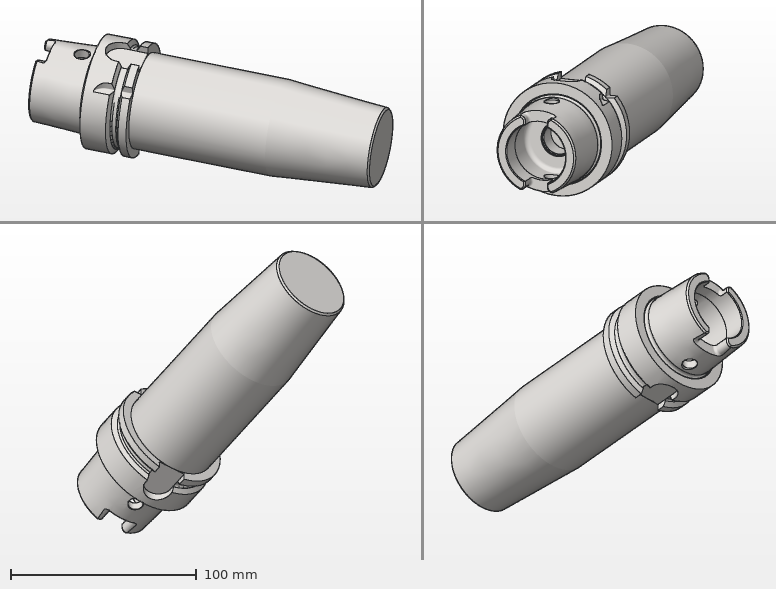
import cadquery as cq
import math


shank_length = 32.0
taper_ratio = 0.05
shank_root_radius = 24.3
shank_end_chamfer = 0.9

neck_length = 2.4
neck_ramp_length = 1.2
neck_depth = 0.35
neck_fillet_radius = 1.0
face_recess_depth = 0.3
face_recess_radius = 25.4

flange_radius = 31.5
flange_width = 26.0
groove_start = 14.4
groove_end = 21.5
groove_flank_bottom_radius = 28.7
groove_bottom_radius = 27.7
groove_flank_angle = 30.0
groove_corner_radius = 0.9

total_length = 192.0
body_radius = 26.5
nose_cone_length = 57.0
nose_radius = 22.0
nose_chamfer = 1.0

mouth_radius = 17.0
mouth_chamfer = 0.5
mouth_depth = 12.6
cavity_radius = 18.5
cavity_depth = 32.0
cavity_floor_fillet = 2.7
coolant_hole_radius = 8.5
coolant_hole_depth = 12.0
coolant_hole_chamfer = 0.5
coolant_counterbore_radius = 9.5
coolant_counterbore_depth = 1.0

keyway_width = 12.54
keyway_shelf_height = 20.7
keyway_edge_radius = 3.0
keyway_floor_fillet = 1.4
keyway_end_chamfer = 0.8
upper_keyway_depth = 5.8
lower_keyway_depth = 9.9

cross_hole_x = -8.8
cross_hole_radius = 4.0
cross_hole_chamfer = 0.5

slot_width = 16.0
slot_start = 4.9
slot_floor_height = body_radius
notch_start = 4.2
notch_wall_offset = 20.0
notch_floor_height = 20.0
notch_floor_fillet = 0.5

shank_end = -shank_length
nose_end = total_length - shank_length
beyond = 10.0


def shank_radius(x):
    return shank_root_radius + taper_ratio * x


def revolve_about_x(profile):
    """Turn an (x, radius) outline about the X axis, with the seam on the -Y side."""
    return profile.close().revolve(360, (0, 0, 0), (1, 0, 0)).rotate((0, 0, 0), (1, 0, 0), 180)


def turned_over(shape):
    return shape.rotate((0, 0, 0), (1, 0, 0), 180)


def turned_body():
    neck_radius = shank_radius(-neck_length) - neck_depth
    flank = (flange_radius - groove_flank_bottom_radius) * math.tan(math.radians(groove_flank_angle))
    corner = groove_corner_radius
    return revolve_about_x(
        cq.Workplane("XY")
        .moveTo(shank_end, 0)
        .lineTo(shank_end, shank_radius(shank_end) - shank_end_chamfer)
        .lineTo(shank_end + shank_end_chamfer, shank_radius(shank_end + shank_end_chamfer))
        .lineTo(-neck_length, shank_radius(-neck_length))
        .lineTo(neck_ramp_length - neck_length, neck_radius)
        .lineTo(face_recess_depth - neck_fillet_radius, neck_radius)
        .radiusArc((face_recess_depth, neck_radius + neck_fillet_radius), -neck_fillet_radius)
        .lineTo(0, face_recess_radius)
        .lineTo(0, flange_radius)
        .lineTo(groove_start, flange_radius)
        .lineTo(groove_start + flank, groove_flank_bottom_radius)
        .lineTo(groove_start + flank, groove_bottom_radius + corner)
        .radiusArc((groove_start + flank + corner, groove_bottom_radius), -corner)
        .lineTo(groove_end - flank - corner, groove_bottom_radius)
        .radiusArc((groove_end - flank, groove_bottom_radius + corner), -corner)
        .lineTo(groove_end - flank, groove_flank_bottom_radius)
        .lineTo(groove_end, flange_radius)
        .lineTo(flange_width, flange_radius)
        .lineTo(flange_width, body_radius)
        .lineTo(nose_end - nose_cone_length, body_radius)
        .lineTo(nose_end - nose_chamfer, nose_radius)
        .lineTo(nose_end, nose_radius - nose_chamfer)
        .lineTo(nose_end, 0)
    )


def cavity():
    shoulder_x = shank_end + mouth_depth
    floor_x = shank_end + cavity_depth
    counterbore_x = floor_x + coolant_counterbore_depth
    hole_mouth_radius = coolant_hole_radius + coolant_hole_chamfer
    fillet_offset = cavity_floor_fillet * math.cos(math.radians(45))
    fillet_center = (floor_x - cavity_floor_fillet, cavity_radius - cavity_floor_fillet)
    return revolve_about_x(
        cq.Workplane("XY")
        .moveTo(shank_end, 0)
        .lineTo(shank_end, mouth_radius + mouth_chamfer)
        .lineTo(shank_end + mouth_chamfer, mouth_radius)
        .lineTo(shoulder_x, mouth_radius)
        .lineTo(shoulder_x, cavity_radius)
        .lineTo(fillet_center[0], cavity_radius)
        .threePointArc(
            (fillet_center[0] + fillet_offset, fillet_center[1] + fillet_offset),
            (floor_x, fillet_center[1]),
        )
        .lineTo(floor_x, coolant_counterbore_radius)
        .lineTo(counterbore_x, coolant_counterbore_radius)
        .lineTo(counterbore_x, hole_mouth_radius)
        .lineTo(counterbore_x + coolant_hole_chamfer, coolant_hole_radius)
        .lineTo(floor_x + coolant_hole_depth, coolant_hole_radius)
        .lineTo(floor_x + coolant_hole_depth, 0)
    )


def keyway_outline(x, margin):
    """Slot that widens through rounded edges into a shelf, grown outwards by the margin."""
    half_width = keyway_width / 2 + margin
    edge_radius = keyway_edge_radius - margin
    shelf_height = keyway_shelf_height - margin
    shelf_start = half_width + edge_radius
    return (
        cq.Workplane("YZ", origin=(x, 0, 0))
        .moveTo(-half_width, 0)
        .lineTo(half_width, 0)
        .lineTo(half_width, shelf_height - edge_radius)
        .radiusArc((shelf_start, shelf_height), edge_radius)
        .lineTo(flange_radius, shelf_height)
        .lineTo(flange_radius, flange_radius)
        .lineTo(-flange_radius, flange_radius)
        .lineTo(-flange_radius, shelf_height)
        .lineTo(-shelf_start, shelf_height)
        .radiusArc((-half_width, shelf_height - edge_radius), edge_radius)
        .close()
    )


def keyway(depth):
    """Keyway on the +Z side, with a rounded floor and a chamfered end."""
    slot = keyway_outline(shank_end, 0).extrude(depth)
    slot = slot.faces(">X").edges().fillet(keyway_floor_fillet)
    wide_end = keyway_outline(shank_end, keyway_end_chamfer).wires().val()
    narrow_end = keyway_outline(shank_end + keyway_end_chamfer, 0).wires().val()
    chamfer = cq.Solid.makeLoft([wide_end, narrow_end], True)
    return slot.union(cq.Workplane(chamfer))


def cross_hole():
    """Hole through both walls along Z, with a countersink on each outer side."""
    plane = cq.Workplane("XY", origin=(cross_hole_x, 0, 0))
    hole = plane.circle(cross_hole_radius).extrude(flange_radius, both=True)
    mouth_height = shank_radius(cross_hole_x)
    countersink = cq.Workplane(
        cq.Solid.makeCone(
            cross_hole_radius,
            cross_hole_radius + 2 * cross_hole_chamfer,
            2 * cross_hole_chamfer,
            cq.Vector(cross_hole_x, 0, mouth_height - cross_hole_chamfer),
        )
    )
    return hole.union(countersink).union(turned_over(countersink))


def flange_slot(start_x, center_y, floor_height):
    """Round-ended slot on the +Z side, open towards the body end of the flange."""
    radius = slot_width / 2
    center_x = start_x + radius
    straight_length = flange_width - center_x
    height = flange_radius + beyond - floor_height
    plane = cq.Workplane("XY", origin=(center_x, center_y, floor_height))
    round_end = plane.circle(radius).extrude(height)
    straight = plane.rect(straight_length, slot_width, centered=(False, True)).extrude(height)
    return round_end.union(straight)


def orientation_notch():
    """Slot beside the +Z, -Y quarter of the flange, with a small fillet round its floor."""
    center_y = -notch_wall_offset - slot_width / 2
    slot = flange_slot(notch_start, center_y, notch_floor_height)
    return slot.faces("<Z").edges("not |Y").fillet(notch_floor_fillet)


flange_slot_cut = flange_slot(slot_start, 0, slot_floor_height)

result = turned_body().cut(cavity())
result = result.cut(keyway(upper_keyway_depth))
result = result.cut(turned_over(keyway(lower_keyway_depth)))
result = result.cut(cross_hole())
result = result.cut(flange_slot_cut).cut(turned_over(flange_slot_cut))
result = result.cut(orientation_notch())